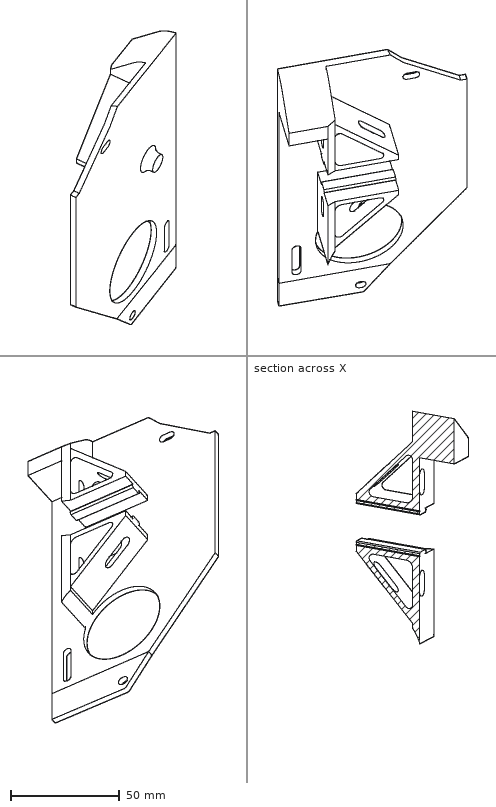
import cadquery as cq
import math

plate_front = 20.8
plate_back = 23.8
plate_thickness = plate_back - plate_front
height = 167.5
depth = 89.3
split_z = 16.9
split_y = 36.3
slope_top_z = 61.6

shoulder_z = 139.7
shoulder_y = 3.0
bend_y, bend_z = 30.3, 159.8
top_corner_y = 37.0

foot_tip_y = 49.0
foot_rear_z = 0.5
foot_tip_radius = 1.7
foot_hole_y, foot_hole_z = 50.4, 5.5
foot_hole_length = 4.9

slot_width = 4.2
upper_slot_y, upper_slot_z, upper_slot_length = 26.5, 149.2, 7.9
lower_slot_y, lower_slot_z, lower_slot_length = 80.9, 31.1, 20.5
opening_y, opening_z, opening_diameter = 51.0, 42.9, 41.5

mirror_z = 102.8
bracket_base_z = 113.9
bracket_tip_y = 36.8
wall_front_y = 67.0
wall_rear_y = 70.8
wall_bevel = 1.7
rib = 3.0
bracket_height = rib + wall_front_y - bracket_tip_y
pocket_radius = 2.0
pocket_corner_radius = 3.3
bracket_slot_length = 12.4
bracket_slot_x = (wall_bevel + plate_front) / 2
bracket_slot_z = 127.5

rail_x = 10.5
rail_neck = 5.2
rail_width = 6.5
rail_end = 4.7
rail_height = 2.0

hood_corner_z = 148.7
hood_arc_x, hood_arc_z = 14.0, 162.6

boss_y = 64.3
boss_diameter = 9.0
boss_end = 29.0
boss_flare_end = 27.8
flare_radius = 4.7


def slot_through_x(y, z, length, angle):
    """Cutter for a slot through the plate; angle 0 runs along Y, 90 along Z."""
    return (
        cq.Workplane("YZ", origin=(plate_front, y, z))
        .slot2D(length, slot_width, angle)
        .extrude(plate_thickness)
    )


def hood_section(base_z, y_start, y_end):
    """Solid under the sloping, rounded top line, from base_z upward."""
    return (
        cq.Workplane("XZ", origin=(0, y_start, 0))
        .moveTo(plate_back, base_z)
        .lineTo(0, base_z)
        .lineTo(0, hood_corner_z)
        .lineTo(hood_arc_x, hood_arc_z)
        .tangentArcPoint((plate_back, height), relative=False)
        .close()
        .extrude(y_start - y_end)
    )


def make_plate_panel():
    panel = (
        cq.Workplane("YZ", origin=(plate_front, 0, 0))
        .polyline([
            (depth, split_z),
            (split_y, split_z),
            (0, slope_top_z),
            (0, shoulder_z),
            (shoulder_y, shoulder_z),
            (bend_y, bend_z),
            (top_corner_y, height),
            (depth, height),
        ])
        .close()
        .extrude(plate_thickness)
    )
    return panel.intersect(hood_section(split_z, 0, depth))


def bracket_wall(bottom_z, top_z):
    """Rear wall of a bracket, bevelled on its outer side."""
    return (
        cq.Workplane("XY", origin=(0, 0, bottom_z))
        .polyline([
            (0, wall_rear_y),
            (wall_bevel, wall_front_y),
            (plate_front, wall_front_y),
            (plate_front, wall_rear_y),
        ])
        .close()
        .extrude(top_z - bottom_z)
    )


def bracket_triangle():
    """Hollow triangle of the upper bracket."""
    width = plate_front - wall_bevel
    top_z = bracket_base_z + bracket_height
    outer = (
        cq.Workplane("YZ", origin=(wall_bevel, 0, 0))
        .polyline([
            (wall_front_y, bracket_base_z),
            (bracket_tip_y, bracket_base_z),
            (bracket_tip_y, bracket_base_z + rib),
            (wall_front_y, top_z),
        ])
        .close()
        .extrude(width)
    )
    pocket_floor = bracket_base_z + rib
    pocket_side = wall_front_y - bracket_tip_y - rib * math.sqrt(2)
    pocket = (
        cq.Workplane("YZ", origin=(wall_bevel, 0, 0))
        .polyline([
            (wall_front_y, pocket_floor),
            (wall_front_y - pocket_side, pocket_floor),
            (wall_front_y, pocket_floor + pocket_side),
        ])
        .close()
        .extrude(width)
        .edges("|X and (<Y or >Z)")
        .fillet(pocket_radius)
        .edges(cq.NearestToPointSelector((plate_front / 2, wall_front_y, pocket_floor)))
        .fillet(pocket_corner_radius)
    )
    return outer.cut(pocket)


def bracket_rail():
    """Six-sided rail under the base of the upper bracket."""
    mid_z = bracket_base_z - rail_height / 2
    end_z = bracket_base_z - rail_height
    return (
        cq.Workplane("XZ", origin=(rail_x, bracket_tip_y, 0))
        .polyline([
            (-rail_neck / 2, bracket_base_z),
            (-rail_width / 2, mid_z),
            (-rail_end / 2, end_z),
            (rail_end / 2, end_z),
            (rail_width / 2, mid_z),
            (rail_neck / 2, bracket_base_z),
        ])
        .close()
        .extrude(bracket_tip_y - wall_rear_y)
    )


def make_bracket(wall_top_z):
    slot = (
        cq.Workplane("XZ", origin=(bracket_slot_x, bracket_tip_y, bracket_slot_z))
        .slot2D(bracket_slot_length, slot_width, 90)
        .extrude(bracket_tip_y - wall_rear_y)
    )
    wall = bracket_wall(bracket_base_z, wall_top_z)
    return bracket_triangle().union(wall).union(bracket_rail()).cut(slot)


def make_hood():
    """Solid hood behind the upper bracket, with the wall's bevel carried up its front."""
    block = hood_section(shoulder_z, wall_rear_y, depth)
    front = hood_section(shoulder_z, wall_front_y, wall_rear_y)
    front = front.intersect(bracket_wall(shoulder_z, height))
    return block.union(front)


def make_boss():
    """Round boss with a concave flare where it meets the plate."""
    radius = boss_diameter / 2
    flare_length = boss_flare_end - plate_back
    flare_rise = flare_radius - math.sqrt(flare_radius**2 - flare_length**2)
    return (
        cq.Workplane("XY", origin=(0, boss_y, mirror_z))
        .moveTo(plate_back, 0)
        .lineTo(boss_end, 0)
        .lineTo(boss_end, radius)
        .lineTo(boss_flare_end, radius)
        .tangentArcPoint((plate_back, radius + flare_rise), relative=False)
        .close()
        .revolve(360, (0, 0, 0), (1, 0, 0))
    )


def make_plate():
    upper_bracket = make_bracket(shoulder_z)
    lower_bracket = make_bracket(2 * mirror_z - opening_z).mirror("XY", (0, 0, mirror_z))
    opening = (
        cq.Workplane("YZ", origin=(0, opening_y, opening_z))
        .circle(opening_diameter / 2)
        .extrude(plate_back)
    )
    return (
        make_plate_panel()
        .union(make_hood())
        .union(upper_bracket)
        .union(lower_bracket)
        .union(make_boss())
        .cut(opening)
        .cut(slot_through_x(upper_slot_y, upper_slot_z, upper_slot_length, 0))
        .cut(slot_through_x(lower_slot_y, lower_slot_z, lower_slot_length, 90))
    )


def make_foot():
    """Lower end of the plate, butted against it at the joint."""
    foot = (
        cq.Workplane("YZ", origin=(plate_front, 0, 0))
        .polyline([
            (depth, split_z),
            (split_y, split_z),
            (foot_tip_y, 0),
            (depth, foot_rear_z),
        ])
        .close()
        .extrude(plate_thickness)
        .edges("|X and <Z")
        .fillet(foot_tip_radius)
    )
    return foot.cut(slot_through_x(foot_hole_y, foot_hole_z, foot_hole_length, 0))


plate = make_plate()
foot = make_foot()
result = cq.Compound.makeCompound([plate.solids().val(), foot.solids().val()])